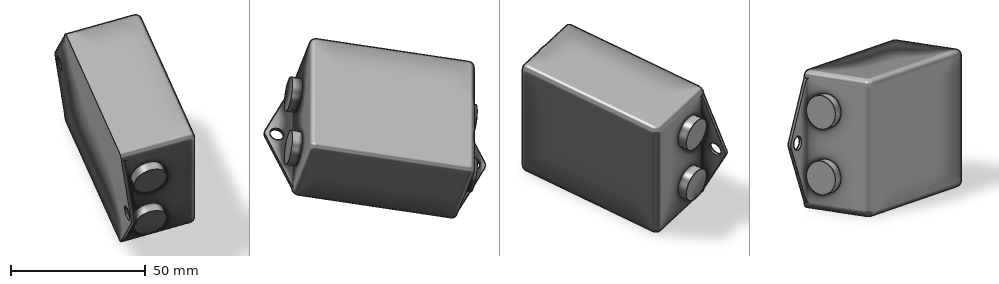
import cadquery as cq
import math

flange_length = 84.5
box_length = 63.0
box_depth = 29.5
box_height = 52.5
edge_radius = 2.5
back_edge_radius = 2.45

flange_thickness = 1.2
flange_tip_radius = 2.5
flange_corner_x = 31.4
flange_corner_z = 23.9
root_radius = 0.85

hole_diameter = 5.3
hole_x = 37.5

boss_diameter = 12.8
boss_projection = 3.8
boss_spacing = 25.0
boss_y_from_front = 10.05

front_y = -box_depth / 2
half_box_length = box_length / 2


def make_box():
    """Solid box, rounded on its long edges and around its back face."""
    box = cq.Workplane("XY").box(box_length, box_depth, box_height)
    return box.edges("|Y").fillet(edge_radius).faces(">Y").edges().fillet(back_edge_radius)


def make_ear(side, thickness):
    """Triangular ear with a rounded tip, on the +X or -X side, built up from the front face."""
    tip_centre_x = flange_length / 2 - flange_tip_radius
    run = flange_corner_x - tip_centre_x
    distance = math.hypot(run, flange_corner_z)
    tangent_angle = math.atan2(flange_corner_z, run) - math.acos(flange_tip_radius / distance)
    tangent_x = tip_centre_x + flange_tip_radius * math.cos(tangent_angle)
    tangent_z = flange_tip_radius * math.sin(tangent_angle)
    return (
        cq.Workplane("XZ", origin=(0, front_y, 0))
        .moveTo(0, -flange_corner_z)
        .lineTo(side * flange_corner_x, -flange_corner_z)
        .lineTo(side * tangent_x, -tangent_z)
        .threePointArc((side * flange_length / 2, 0), (side * tangent_x, tangent_z))
        .lineTo(side * flange_corner_x, flange_corner_z)
        .lineTo(0, flange_corner_z)
        .close()
        .extrude(-thickness)
    )


def make_root_fillet(side):
    """Concave strip filling the corner between an ear and the end wall."""
    wall_x = side * half_box_length
    ear_y = front_y + flange_thickness
    arc_inset = root_radius * (1 - math.sqrt(0.5))
    strip_height = 2 * flange_corner_z
    strip = (
        cq.Workplane("XY", origin=(0, 0, -strip_height / 2))
        .moveTo(wall_x, ear_y)
        .lineTo(wall_x + side * root_radius, ear_y)
        .threePointArc(
            (wall_x + side * arc_inset, ear_y + arc_inset),
            (wall_x, ear_y + root_radius),
        )
        .close()
        .extrude(strip_height)
    )
    return strip.intersect(make_ear(side, flange_thickness + root_radius))


def make_bosses():
    """Cylindrical bosses, two on each end wall."""
    return (
        cq.Workplane("YZ", origin=(-half_box_length - boss_projection, 0, 0))
        .pushPoints([(front_y + boss_y_from_front, side * boss_spacing / 2) for side in (-1, 1)])
        .circle(boss_diameter / 2)
        .extrude(box_length + 2 * boss_projection)
    )


def make_mounting_holes():
    """Cutters for the hole through each ear."""
    return (
        cq.Workplane("XZ", origin=(0, front_y, 0))
        .pushPoints([(-hole_x, 0), (hole_x, 0)])
        .circle(hole_diameter / 2)
        .extrude(-flange_thickness)
    )


result = make_box().union(make_bosses())
for side in (-1, 1):
    result = result.union(make_ear(side, flange_thickness)).union(make_root_fillet(side))
result = result.cut(make_mounting_holes())